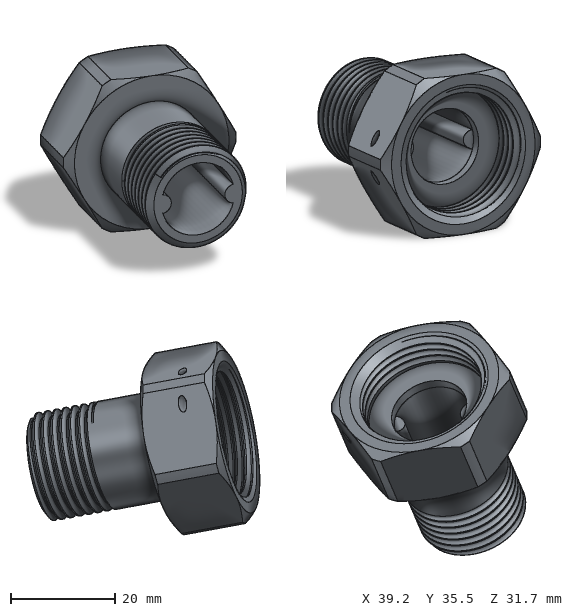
import cadquery as cq
import math


seven_pitches = 12.7
pitch = seven_pitches / 7
flank_angle = 27.5
depth_per_pitch = 0.64
thread_depth = depth_per_pitch * pitch
flank_run = thread_depth * math.tan(math.radians(flank_angle))
root_flat = pitch / 2 - flank_run
thread_overcut = 0.1

nut_length = 14.43
across_flats = 31.7
across_corners = 35.48
end_chamfer_angle = 30
nut_bore_radius = 11.95
mouth_radius = 13.75
mouth_chamfer_angle = 30
nut_groove_start = -0.15
wire_hole_diameter = 1.6
wire_hole_x = 5.95
wire_hole_y = 16.05

washer_front = 7.1
washer_thickness = 1.95

total_length = 39.2
tail_radius = 10.5
bore_radius = 14.95 / 2
flange_thickness = 2.35
lug_radius = 1.95
lug_end_angle = 15
tail_groove_start = 25.6
runout_turns = 0.5
full_thread_turns = 6.9
tip_chamfer_width = 0.82
tip_radius = 9.1

flange_front = washer_front + washer_thickness
flange_back = flange_front + flange_thickness


def turned(outline):
    """Revolve an (x, radius) outline about the X axis."""
    return cq.Workplane("XY").polyline(outline).close().revolve(360, (0, 0, 0), (1, 0, 0))


def rod(radius, start, end):
    """Round bar along the X axis."""
    return cq.Workplane("YZ", origin=(start, 0, 0)).circle(radius).extrude(end - start)


def lay_along_x(shape):
    """Turn local X, Y, Z into Y, Z, X."""
    return shape.rotate((0, 0, 0), (1, 1, 1), 120)


def groove_profile(root_radius, outward, start):
    """V groove section: outward is 1 for a bar's thread and -1 for a bore's."""
    depth = thread_depth + thread_overcut
    half_root = root_flat / 2
    half_mouth = half_root + depth * math.tan(math.radians(flank_angle))
    mouth = root_radius + outward * depth
    return (
        cq.Workplane("XZ")
        .moveTo(root_radius, start - half_root)
        .lineTo(mouth, start - half_mouth)
        .lineTo(mouth, start + half_mouth)
        .lineTo(root_radius, start + half_root)
        .close()
    )


def helical_groove(root_radius, outward, start, turns, sink=0.0):
    """Right-hand groove cutter from the +Y side on; its root moves inward by sink along its length."""
    if sink:
        taper = math.atan(sink / (turns * pitch))
        slant_pitch = pitch / math.cos(taper)
        path = cq.Wire.makeHelix(slant_pitch, turns * slant_pitch, root_radius, angle=-math.degrees(taper))
    else:
        path = cq.Wire.makeHelix(pitch, turns * pitch, root_radius)
    path = path.translate(cq.Vector(0, 0, start))
    groove = groove_profile(root_radius, outward, start).sweep(cq.Workplane(obj=path), isFrenet=True)
    return lay_along_x(groove)


def make_nut():
    corner_diameter = across_flats / math.cos(math.radians(30))
    nut = cq.Workplane("YZ").polygon(6, corner_diameter).extrude(nut_length)

    flat_radius = across_flats / 2
    corner_radius = across_corners / 2
    chamfer = (corner_radius - flat_radius) * math.tan(math.radians(end_chamfer_angle))
    nut = nut.intersect(turned([
        (0, 0),
        (0, flat_radius),
        (chamfer, corner_radius),
        (nut_length - chamfer, corner_radius),
        (nut_length, flat_radius),
        (nut_length, 0),
    ]))

    mouth_depth = (mouth_radius - nut_bore_radius) * math.tan(math.radians(mouth_chamfer_angle))
    nut = nut.cut(turned([
        (0, 0),
        (0, mouth_radius),
        (mouth_depth, nut_bore_radius),
        (flange_back, nut_bore_radius),
        (flange_back, tail_radius),
        (nut_length, tail_radius),
        (nut_length, 0),
    ]))

    turns = (washer_front - nut_groove_start) / pitch
    nut = nut.cut(helical_groove(nut_bore_radius + thread_depth, -1, nut_groove_start, turns))

    wire_hole = (
        cq.Workplane("XY", origin=(wire_hole_x, wire_hole_y, 0))
        .circle(wire_hole_diameter / 2)
        .extrude(across_flats / 2, both=True)
    )
    return nut.cut(wire_hole)


def make_washer():
    washer = rod(nut_bore_radius, washer_front, flange_front)
    return washer.cut(rod(bore_radius, washer_front, flange_front))


def make_tailpiece():
    bar = rod(tail_radius, flange_front, total_length + 2 * pitch)
    root_radius = tail_radius - thread_depth
    full_start = tail_groove_start + runout_turns * pitch
    full_groove = helical_groove(root_radius, 1, full_start, full_thread_turns)
    bar = bar.cut(full_groove.rotate((0, 0, 0), (1, 0, 0), 360 * runout_turns))

    bar = bar.cut(helical_groove(tail_radius, 1, tail_groove_start, runout_turns, thread_depth))

    tail = bar.intersect(turned([
        (flange_front, 0),
        (flange_front, tail_radius),
        (total_length - tip_chamfer_width, tail_radius),
        (total_length, tip_radius),
        (total_length, 0),
    ]))
    tail = tail.union(rod(nut_bore_radius, flange_front, flange_back))

    lugs = (
        cq.Workplane("YZ", origin=(flange_front, 0, 0))
        .pushPoints([(bore_radius, 0), (-bore_radius, 0)])
        .circle(lug_radius)
        .extrude(total_length - flange_front)
    )
    cone_depth = bore_radius * math.tan(math.radians(lug_end_angle))
    lugs = lugs.cut(turned([
        (flange_front, 0),
        (flange_front, bore_radius),
        (flange_front + cone_depth, 0),
    ]))
    return tail.cut(rod(bore_radius, flange_front, total_length).cut(lugs))


nut = make_nut()
washer = make_washer()
tailpiece = make_tailpiece()

result = cq.Compound.makeCompound([
    nut.solids().val(),
    washer.solids().val(),
    tailpiece.solids().val(),
])